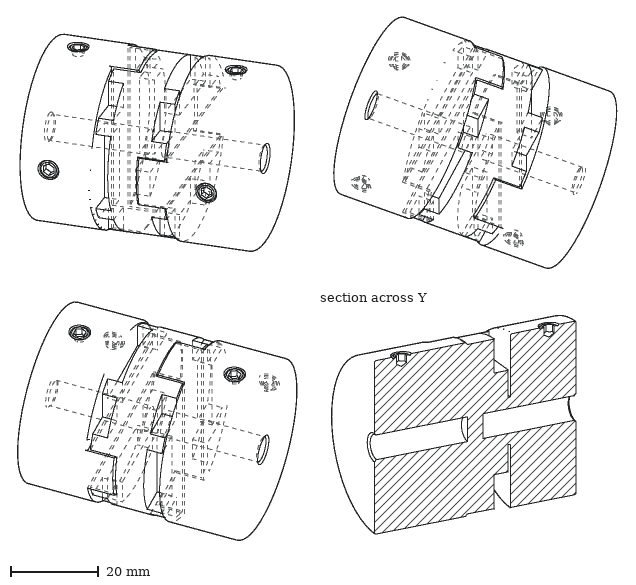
import cadquery as cq
import math


total_length = 52.0
hub_diameter = 43.0
disc_diameter = 42.0

hub_body_length = 17.0
jaw_length = 7.0
jaw_width = 11.8
hub_edge_fillet = 0.5
jaw_tip_chamfer = 0.5
bore_diameter = 6.0
bore_chamfer = 0.5

screw_end_distance = 7.0
screw_face_diameter = 3.7
screw_groove_diameter = 4.4
screw_mouth_diameter = 5.0
screw_face_recess = 0.2
screw_groove_depth = 0.4
socket_across_flats = 2.5
socket_depth = 2.5
socket_point_angle = 120.0
socket_sides = 6

disc_gap = 0.5
pocket_depth = 3.6
side_pocket_width = 18.8
side_pocket_floor = 12.6
corner_y = 9.6
corner_z = 12.6

hub_radius = hub_diameter / 2
disc_radius = disc_diameter / 2
bore_radius = bore_diameter / 2
hub_length = hub_body_length + jaw_length
hub_face_x = total_length / 2 - hub_body_length
disc_half_length = hub_face_x - disc_gap
screw_x = total_length / 2 - screw_end_distance
screw_top_radius = hub_radius - screw_face_recess
socket_half_corner = 180 / socket_sides
socket_corner_diameter = socket_across_flats / math.cos(math.radians(socket_half_corner))


def turn_about_x(shape, angle):
    return shape.rotate((0, 0, 0), (1, 0, 0), angle)


def cylinder_along_x(radius, x_start, length):
    return cq.Workplane("YZ").workplane(offset=x_start).circle(radius).extrude(length)


def revolve_about_z(profile):
    """Full turn about Z of a closed profile given as (radius, z) points."""
    return cq.Workplane("XZ").polyline(profile).close().revolve(360, (0, 0, 0), (0, 1, 0))


def jaw_bar():
    """Bar across the hub face along Z, as wide as the jaws and as long as the hub diameter."""
    return cq.Workplane("XY").box(jaw_length, jaw_width, hub_diameter).translate(
        (-hub_face_x + jaw_length / 2, 0, 0)
    )


def hub_blank():
    """Left hub: cylinder cut back on both sides of the jaw bar, the face edge rounded on the -Y side only."""
    beside_jaws = (
        cylinder_along_x(hub_diameter, -hub_face_x, jaw_length)
        .cut(jaw_bar())
    )
    return (
        cylinder_along_x(hub_radius, -total_length / 2, hub_length)
        .edges("<X")
        .fillet(hub_edge_fillet)
        .edges(">X")
        .chamfer(jaw_tip_chamfer)
        .cut(beside_jaws)
        .edges(cq.NearestToPointSelector((-hub_face_x, -hub_radius, 0)))
        .fillet(hub_edge_fillet)
    )


def bore_cutter():
    """Shaft bore through the whole hub with a chamfered mouth at the outer end."""
    profile = [
        (-total_length / 2, 0),
        (-total_length / 2, bore_radius + bore_chamfer),
        (-total_length / 2 + bore_chamfer, bore_radius),
        (-total_length / 2 + hub_length, bore_radius),
        (-total_length / 2 + hub_length, 0),
    ]
    return cq.Workplane("XY").polyline(profile).close().revolve(360, (0, 0, 0), (1, 0, 0))


def screw_cutter():
    """Recess of a set screw on the +Z side: V groove around its face, hexagon socket with a cone point."""
    profile = [
        (0, screw_top_radius),
        (screw_face_diameter / 2, screw_top_radius),
        (screw_groove_diameter / 2, hub_radius - screw_groove_depth),
        (screw_mouth_diameter / 2, hub_radius),
        (0, hub_radius),
    ]
    mouth = revolve_about_z(profile)

    point_radius = socket_corner_diameter / 2
    point_height = point_radius / math.tan(math.radians(socket_point_angle / 2))
    point_z = screw_top_radius - socket_depth
    drilled = revolve_about_z([
        (0, point_z),
        (point_radius, point_z + point_height),
        (point_radius, screw_top_radius),
        (0, screw_top_radius),
    ])
    socket = (
        cq.Workplane("XY")
        .workplane(offset=point_z)
        .polygon(socket_sides, socket_corner_diameter)
        .extrude(socket_depth)
        .rotate((0, 0, 0), (0, 0, 1), socket_half_corner)
        .intersect(drilled)
    )
    return mouth.union(socket).translate((-screw_x, 0, 0))


def to_right_side(shape):
    """Mirror a left-hand shape to the right and turn it so that its Z axis lies along -Y, its -Y along +Z."""
    return turn_about_x(shape.mirror("YZ").mirror("XZ"), 90)


def make_hub():
    """Left hub, with set screws on the +Z and -Y sides."""
    hub = hub_blank().cut(bore_cutter())
    for side_angle in (0, 90):
        hub = hub.cut(turn_about_x(screw_cutter(), side_angle))
    return hub


def disc_pockets():
    """Edge pockets on the left face of the disc: two side pockets and four corner notches."""
    pocket_x = -disc_half_length + pocket_depth / 2
    side = cq.Workplane("XY").box(
        pocket_depth, disc_radius - side_pocket_floor, side_pocket_width
    )
    corner = cq.Workplane("XY").box(
        pocket_depth, disc_radius - corner_y, disc_radius - corner_z
    )
    cutters = cq.Workplane("XY")
    for y_side in (-1, 1):
        cutters = cutters.add(
            side.translate((pocket_x, y_side * (disc_radius + side_pocket_floor) / 2, 0))
        )
        for z_side in (-1, 1):
            cutters = cutters.add(
                corner.translate((
                    pocket_x,
                    y_side * (disc_radius + corner_y) / 2,
                    z_side * (disc_radius + corner_z) / 2,
                ))
            )
    return cutters.combine()


def make_disc():
    """Disc with a slot across each face for the jaws of the hub on that side."""
    left_cutters = disc_pockets().union(jaw_bar())
    disc = cylinder_along_x(disc_radius, -disc_half_length, 2 * disc_half_length)
    return disc.cut(left_cutters).cut(to_right_side(left_cutters))


left_hub = make_hub()
result = make_disc().union(left_hub).union(to_right_side(left_hub))